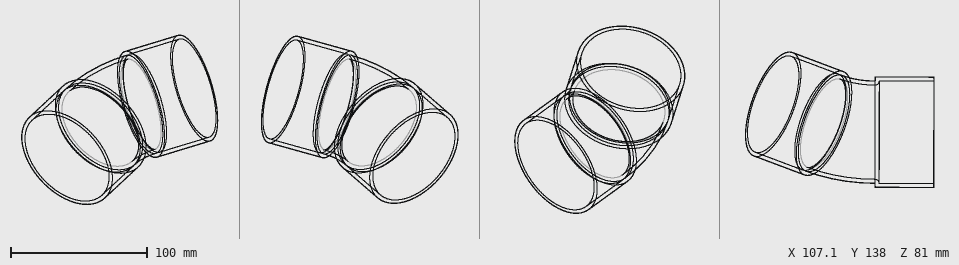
import cadquery as cq
import math

bend_angle = 30.0
total_length = 138.0
socket_outer_d = 81.0
socket_length = 43.0
socket_bore_d = 75.0
pipe_outer_d = 75.0
pipe_bore_d = 69.0
stop_height = (socket_bore_d - pipe_bore_d) / 2
socket_depth = socket_length - stop_height

angle = math.radians(bend_angle)
leg_length = (total_length - socket_outer_d / 2 * math.sin(angle)) / (1 + math.cos(angle))
bend_radius = (leg_length - socket_length) / math.tan(angle / 2)


def bend(diameter):
    """Solid bend starting at the origin along +Y and turning towards +X."""
    return (
        cq.Workplane("XZ")
        .circle(diameter / 2)
        .revolve(bend_angle, (bend_radius, 1.4), (bend_radius, 0))
    )


def socket_body():
    """Outside of a socket, mouth at y = -socket_length and inner end at the origin."""
    return cq.Workplane("XZ").circle(socket_outer_d / 2).extrude(socket_length)


def socket_cavity():
    """Stepped bore of a socket, with a quarter-round lip on the pipe stop."""
    mouth_y = -socket_length
    stop_y = mouth_y + socket_depth
    pipe_r = pipe_bore_d / 2
    socket_r = socket_bore_d / 2
    lip_mid_r = socket_r - stop_height * math.sin(math.pi / 4)
    lip_mid_y = stop_y + stop_height * (1 - math.cos(math.pi / 4))
    return (
        cq.Workplane("XY")
        .moveTo(0, mouth_y)
        .lineTo(socket_r, mouth_y)
        .lineTo(socket_r, stop_y)
        .threePointArc((lip_mid_r, lip_mid_y), (pipe_r, 0))
        .lineTo(0, 0)
        .close()
        .revolve(360, (0, 0), (0, 1))
    )


def at_far_end(shape):
    """Mirror a shape at the near end of the bend to the far end."""
    return shape.mirror("XZ").rotate((bend_radius, 0, 0), (bend_radius, 0, 1), -bend_angle)


outside = bend(pipe_outer_d).union(socket_body()).union(at_far_end(socket_body()))
inside = bend(pipe_bore_d).union(socket_cavity()).union(at_far_end(socket_cavity()))
result = outside.cut(inside)